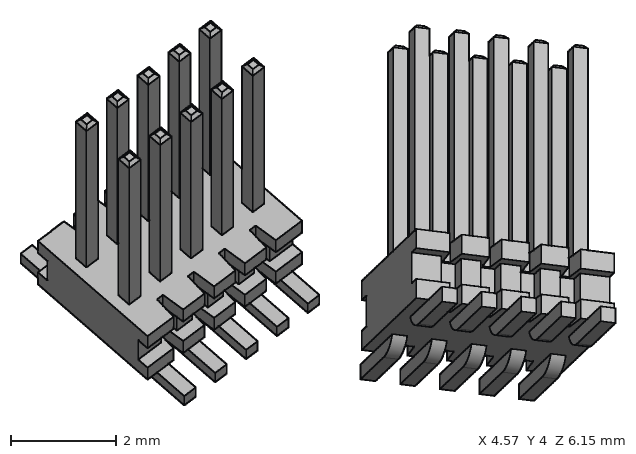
import cadquery as cq

total_height = 6.15
foot_span = 4.57

pins_per_row = 5
pin_pitch = 0.8
row_spacing = 1.195
pin_width = 0.3
pin_tip_chamfer = 0.075
bend_radius = 0.535

body_length = pins_per_row * pin_pitch
body_width = 3.055
body_height = 1.395
body_bottom = pin_width
flange_thickness = 0.39
waist_bottom = body_bottom + flange_thickness
waist_height = body_height - 2 * flange_thickness
waist_inset = 0.26
waist_width = body_width - 2 * waist_inset

notch_floor_spacing = 2.03
notch_mouth_width = 0.245
notch_floor_width = 0.155
slot_floor_spacing = 1.87
slot_width = pin_pitch / 2

pin_positions = [(i - (pins_per_row - 1) / 2) * pin_pitch for i in range(pins_per_row)]
notch_positions = [y + pin_pitch / 2 for y in pin_positions[:-1]]


def side_box(inner_x, outer_x, length, bottom, height):
    """Box on the +X side, spanning inner_x to outer_x and centred on Y."""
    return cq.Workplane("XY", origin=(inner_x, 0, bottom)).box(
        outer_x - inner_x, length, height, centered=(False, True, False)
    )


def make_notch():
    """Full-height notch that tapers towards its floor, widened to a square slot at the waist."""
    mouth_x = body_width / 2
    floor_x = notch_floor_spacing / 2
    outline = [
        (mouth_x, -notch_mouth_width / 2),
        (mouth_x, notch_mouth_width / 2),
        (floor_x, notch_floor_width / 2),
        (floor_x, -notch_floor_width / 2),
    ]
    taper = cq.Workplane("XY", origin=(0, 0, body_bottom)).polyline(outline).close().extrude(body_height)
    slot = side_box(slot_floor_spacing / 2, mouth_x, slot_width, waist_bottom, waist_height)
    return taper.union(slot)


def make_contact():
    """Contact on the +X side: a chamfered upright pin on a foot with a rounded outer bend."""
    inner_x = (row_spacing - pin_width) / 2
    outer_x = inner_x + pin_width
    pin = side_box(inner_x, outer_x, pin_width, 0, total_height)
    pin = pin.faces(">Z").chamfer(pin_tip_chamfer)
    foot = side_box(inner_x, foot_span / 2, pin_width, 0, pin_width)
    bend_end_x = inner_x + bend_radius
    bend_corner = side_box(inner_x, bend_end_x, pin_width, 0, bend_radius)
    bend_round = (
        cq.Workplane("XZ", origin=(bend_end_x, 0, bend_radius))
        .circle(bend_radius)
        .extrude(pin_width / 2, both=True)
    )
    return pin.union(foot).cut(bend_corner.cut(bend_round))


def place_both_sides(shape, y):
    """Copies of a +X side shape at the given Y, on both sides of the part."""
    placed = shape.translate((0, y, 0))
    return placed.union(placed.mirror("YZ"))


def make_body():
    body = cq.Workplane("XY", origin=(0, 0, body_bottom)).box(
        body_width, body_length, body_height, centered=(True, True, False)
    )
    waist_recess = side_box(waist_width / 2, body_width / 2, body_length, waist_bottom, waist_height)
    body = body.cut(place_both_sides(waist_recess, 0))
    notch = make_notch()
    for y in notch_positions:
        body = body.cut(place_both_sides(notch, y))
    return body


result = make_body()
contact = make_contact()
for pin_y in pin_positions:
    result = result.union(place_both_sides(contact, pin_y))